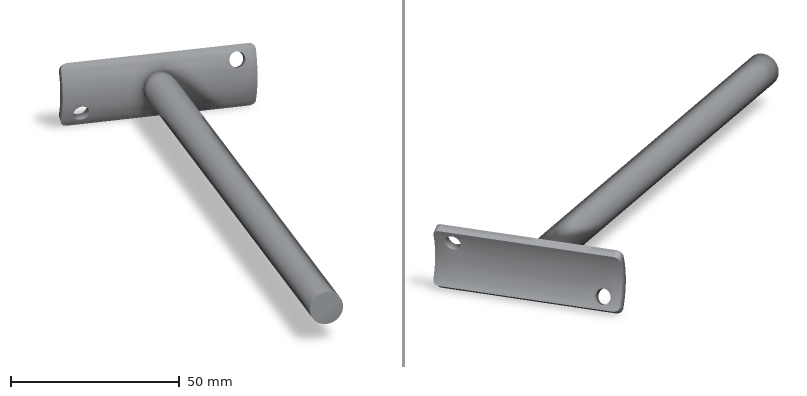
import cadquery as cq
import math

total_length = 182.5

plate_width = 60.0
outer_radius = 20.0
plate_thickness = 2.7
half_angle = 30.0
corner_radius = 2.0
inner_radius = outer_radius - plate_thickness

rod_diameter = 10.2

hole_diameter = 5.0
hole_offset = 24.1
hole_angle = 17.0

axis_x = -inner_radius * math.cos(math.radians(half_angle))


def arc_point(radius, angle):
    """Point (X, Z) at an angle above the X direction from the plate axis."""
    turn = math.radians(angle)
    return axis_x + radius * math.cos(turn), radius * math.sin(turn)


def make_plate():
    """Curved plate with radial end faces and rounded corners."""
    plate = (
        cq.Workplane("XZ")
        .moveTo(*arc_point(inner_radius, -half_angle))
        .threePointArc(arc_point(inner_radius, 0), arc_point(inner_radius, half_angle))
        .lineTo(*arc_point(outer_radius, half_angle))
        .threePointArc(arc_point(outer_radius, 0), arc_point(outer_radius, -half_angle))
        .close()
        .extrude(plate_width / 2, both=True)
    )
    corner_edges = cq.Workplane("XY")
    for angle in (half_angle, -half_angle):
        turn = math.radians(angle)
        direction = cq.Vector(math.cos(turn), 0, math.sin(turn))
        corner_edges = corner_edges.add(plate.edges(cq.selectors.ParallelDirSelector(direction)))
    return plate.newObject([plate.val().fillet(corner_radius, corner_edges.vals())])


def make_rod():
    """Rod reaching from the plate to the far end, its root trimmed to the plate's outer face."""
    rod = cq.Workplane("YZ").circle(rod_diameter / 2).extrude(total_length)
    trim = (
        cq.Workplane("XZ")
        .center(axis_x, 0)
        .circle(outer_radius)
        .extrude(plate_width / 2, both=True)
    )
    return rod.cut(trim)


def make_hole(side):
    """Radial hole cutter; +1 is the upper hole at +Y, -1 the lower hole at -Y."""
    turn = math.radians(side * hole_angle)
    start = cq.Vector(axis_x, side * hole_offset, 0)
    direction = cq.Vector(math.cos(turn), 0, math.sin(turn))
    cutter_length = outer_radius + plate_thickness
    return cq.Solid.makeCylinder(hole_diameter / 2, cutter_length, start, direction)


result = make_plate().union(make_rod())
for side in (1, -1):
    result = result.cut(cq.Workplane(make_hole(side)))